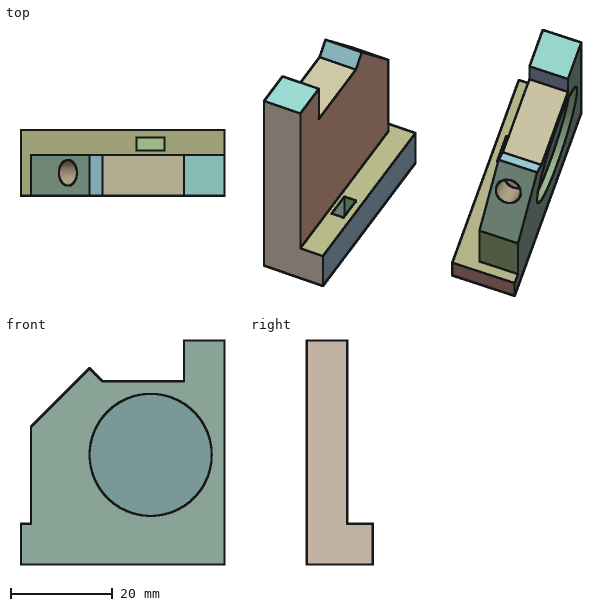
import cadquery as cq
import math

length = 40.0
total_depth = 13.0
total_height = 44
base_height = 8.0

plate_depth = 8.0
left_inset = 2.0
bevel_bottom = 27.05
bevel_run = 11.5
shoulder_height = 36.0
post_width = 8.0

recess_diameter = 24.0
recess_x = 25.48
recess_z = 21.5
recess_depth = 1.5

bevel_hole_diameter = 5.0
bevel_hole_depth = 7.05
bevel_hole_y = 4.55
bevel_hole_run = 7.25

pocket_length = 5.5
pocket_width = 2.6
pocket_depth = 6.6
pocket_x = recess_x
pocket_y = 10.2


def make_base():
    return cq.Workplane("XY").box(length, total_depth, base_height, centered=False)


def make_plate():
    peak_x = left_inset + bevel_run
    peak_z = bevel_bottom + bevel_run
    shoulder_x = peak_x + peak_z - shoulder_height
    post_x = length - post_width
    outline = [
        (left_inset, 0),
        (left_inset, bevel_bottom),
        (peak_x, peak_z),
        (shoulder_x, shoulder_height),
        (post_x, shoulder_height),
        (post_x, total_height),
        (length, total_height),
        (length, 0),
    ]
    return cq.Workplane("XZ").polyline(outline).close().extrude(-plate_depth)


def make_recess():
    return (
        cq.Workplane("XZ")
        .center(recess_x, recess_z)
        .circle(recess_diameter / 2)
        .extrude(-recess_depth)
    )


def make_bevel_hole():
    mouth = cq.Vector(left_inset + bevel_hole_run, bevel_hole_y, bevel_bottom + bevel_hole_run)
    inward = cq.Vector(math.sqrt(0.5), 0, -math.sqrt(0.5))
    return cq.Solid.makeCylinder(bevel_hole_diameter / 2, bevel_hole_depth, mouth, inward)


def make_pocket():
    return (
        cq.Workplane("XY", origin=(pocket_x, pocket_y, base_height))
        .rect(pocket_length, pocket_width)
        .extrude(-pocket_depth)
    )


body = make_base().union(make_plate())
result = body.cut(make_recess()).cut(make_bevel_hole()).cut(make_pocket())